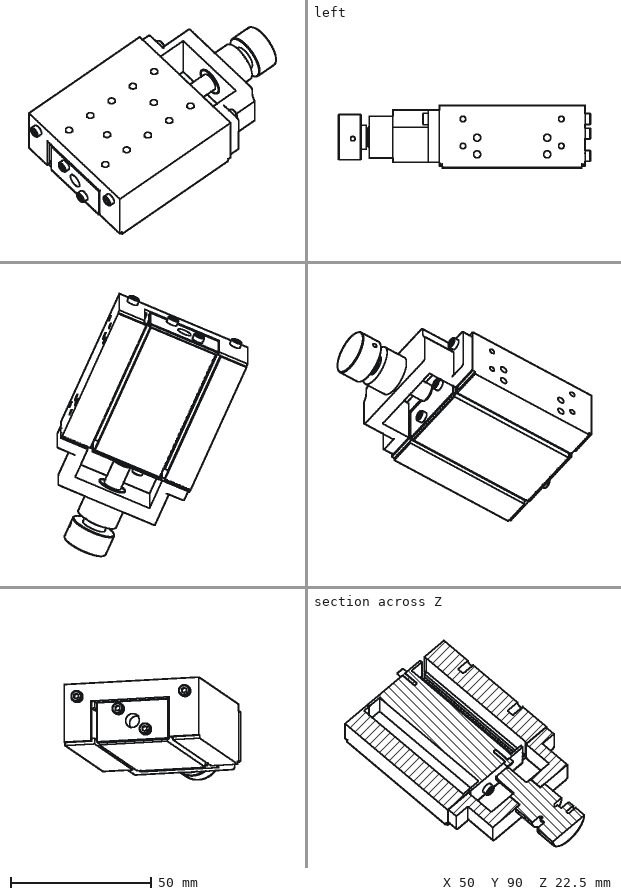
import cadquery as cq
import math


TOTAL_HEIGHT = 22.5
TABLE_BOTTOM = 0.45
TABLE_END_BOTTOM = 1.5
TABLE_OPENING_TOP = TOTAL_HEIGHT - 6.6
BASE_TOP = TOTAL_HEIGHT - 7.1
BASE_PLATE_BOTTOM = 0.7
BASE_AXIS_Z = TOTAL_HEIGHT - 14.5
DRIVE_AXIS_Z = TOTAL_HEIGHT - 11.3
BOLT_Z = TOTAL_HEIGHT - 4.9
RACE_HEIGHT = 11.1
RACE_BOTTOM = BASE_AXIS_Z - RACE_HEIGHT / 2
RACE_TOP = BASE_AXIS_Z + RACE_HEIGHT / 2

TABLE_WIDTH = 50.0
TABLE_LENGTH = 52.0
TABLE_MIDDLE_Y = TABLE_LENGTH / 2
END_THICKNESS = 1.1
OPENING_WIDTH = 29.0
OPENING_CENTRE_X = 0.5
END_OPENING_CENTRE_X = -OPENING_CENTRE_X
TABLE_RACE_DEPTH = 1.2
GRID_PITCH = 10.0
GRID_ROWS = 5
ACCESS_SPACING = 22.0
TAP_DIAMETER = 2.5
BOLT_SPACING = 40.0
BOLT_BORE_DEPTH = 10.0

SIDE_HOLE_DEPTH = (TABLE_WIDTH - BOLT_SPACING) / 2
SIDE_TAP_SPACING_Y = 25.0
SIDE_TAP_SPACING_Z = 5.9
LOCK_HOLE_DIAMETER = 2.0
LOCK_HOLE_SPACING_Y = 35.1

BASE_CENTRE_X = 0.4
BASE_WIDTH = 25.2
BASE_RACE_DEPTH = 4.4
BASE_PLATE_WIDTH = 26.7
BASE_PLATE_CORNER = 0.4
BASE_PLATE_CHAMFER = 0.3
STOP_HOLE_DIAMETER = 5.0
STOP_HOLE_DEPTH = 5.0
BASE_SCREW_SPACING_X = 10.1
BASE_SCREW_SPACING_Z = 7.9
BASE_SCREW_RISE = 0.45

BASE_SCREW_Z = BASE_AXIS_Z + BASE_SCREW_RISE
BASE_SCREW_POINTS = [
    (BASE_CENTRE_X + side * BASE_SCREW_SPACING_X / 2, BASE_SCREW_Z - side * BASE_SCREW_SPACING_Z / 2)
    for side in (-1, 1)
]

HEAD_DIAMETER = 4.0
HEAD_HEIGHT = 2.0
HEAD_CHAMFER = 0.3
SHANK_DIAMETER = TAP_DIAMETER
SHANK_LENGTH = 6.0
SOCKET_SIDES = 6
SOCKET_CORNERS = 2.0
SOCKET_DEPTH = 1.0

BRACKET_BOTTOM = 2.2
BRACKET_TOP = TOTAL_HEIGHT - 1.6
BRACKET_LENGTH = 16.6
BRACKET_WALL = 5.1
FOOT_WIDTH = 49.5
FOOT_THICKNESS = 4.0
ARM_WIDTH = 37.8
BRACKET_OPENING = 29.0
BRACKET_FILLET = 1.1
RELIEF_WALL_X = 17.55
RELIEF_RADIUS = 4.05

SPINDLE_RADIUS = 3.2
TIP_RADIUS = 2.7
TIP_START = 2.0
TIP_LENGTH = 0.45
BARREL_RADIUS = 5.0
BARREL_CHAMFER = 0.3
SLEEVE_RADIUS = 7.5
SLEEVE_END = 25.0
CONE_RADIUS = 3.8
CONE_END = 25.5
NECK_START = 26.0
NECK_RADIUS = 4.3
KNOB_START = 27.9
KNOB_END = 36.0
KNOB_RADIUS = 8.1
KNOB_CHAMFER = 0.3
GRUB_HOLE_DIAMETER = 1.6
GRUB_HOLE_DEPTH = 3.6
GRUB_HOLE_Y = 30.9
GRUB_HOLE_DROP = 0.5


def block(x_centre, width, y_start, y_end, z_bottom, z_top):
    size = (width, y_end - y_start, z_top - z_bottom)
    corner = (x_centre - width / 2, y_start, z_bottom)
    return cq.Workplane("XY").box(*size, centered=False).translate(corner)


def rod(x, y, z, direction, diameter, length):
    start = cq.Vector(x, y, z)
    return cq.Workplane(cq.Solid.makeCylinder(diameter / 2, length, start, cq.Vector(*direction)))


def make_table():
    table = block(0, TABLE_WIDTH, 0, TABLE_LENGTH, TABLE_BOTTOM, TOTAL_HEIGHT)

    ends = [(0, END_THICKNESS), (TABLE_LENGTH - END_THICKNESS, TABLE_LENGTH)]
    for start, end in ends:
        table = table.cut(block(0, TABLE_WIDTH, start, end, TABLE_BOTTOM, TABLE_END_BOTTOM))
        table = table.cut(block(END_OPENING_CENTRE_X, OPENING_WIDTH, start, end, 0, TABLE_OPENING_TOP))

    inner_start = END_THICKNESS
    inner_end = TABLE_LENGTH - END_THICKNESS
    table = table.cut(block(OPENING_CENTRE_X, OPENING_WIDTH, inner_start, inner_end, 0, TABLE_OPENING_TOP))
    race_width = OPENING_WIDTH + 2 * TABLE_RACE_DEPTH
    table = table.cut(block(OPENING_CENTRE_X, race_width, inner_start, inner_end, RACE_BOTTOM, RACE_TOP))

    top_depth = TOTAL_HEIGHT - TABLE_OPENING_TOP
    down = (0, 0, -1)
    points = [(BASE_CENTRE_X, TABLE_MIDDLE_Y + side * ACCESS_SPACING / 2) for side in (-1, 1)]
    for row in range(GRID_ROWS):
        y = TABLE_MIDDLE_Y + (row - (GRID_ROWS - 1) / 2) * GRID_PITCH
        points += [(-GRID_PITCH, y), (GRID_PITCH, y)]
    for x, y in points:
        table = table.cut(rod(x, y, TOTAL_HEIGHT, down, TAP_DIAMETER, top_depth))

    for x in (-BOLT_SPACING / 2, BOLT_SPACING / 2):
        table = table.cut(rod(x, 0, BOLT_Z, (0, 1, 0), SHANK_DIAMETER, BOLT_BORE_DEPTH))
        table = table.cut(rod(x, TABLE_LENGTH, BOLT_Z, (0, -1, 0), SHANK_DIAMETER, BOLT_BORE_DEPTH))

    left = -TABLE_WIDTH / 2
    inward = (1, 0, 0)
    for side in (-1, 1):
        tap_y = TABLE_MIDDLE_Y + side * SIDE_TAP_SPACING_Y / 2
        for level in (-1, 1):
            tap_z = BASE_AXIS_Z + level * SIDE_TAP_SPACING_Z / 2
            table = table.cut(rod(left, tap_y, tap_z, inward, TAP_DIAMETER, SIDE_HOLE_DEPTH))
        lock_y = TABLE_MIDDLE_Y + side * LOCK_HOLE_SPACING_Y / 2
        for lock_z in (BASE_AXIS_Z, BOLT_Z):
            table = table.cut(rod(left, lock_y, lock_z, inward, LOCK_HOLE_DIAMETER, SIDE_HOLE_DEPTH))
    return table


def make_base():
    inner_end = TABLE_LENGTH - END_THICKNESS
    base = block(BASE_CENTRE_X, BASE_WIDTH, END_THICKNESS, inner_end, 0, BASE_TOP)

    for side in (-1, 1):
        race_x = BASE_CENTRE_X + side * (BASE_WIDTH - BASE_RACE_DEPTH) / 2
        base = base.cut(block(race_x, BASE_RACE_DEPTH, END_THICKNESS, inner_end, RACE_BOTTOM, RACE_TOP))

    for start, end, face in ((0, END_THICKNESS, "<Y"), (inner_end, TABLE_LENGTH, ">Y")):
        plate = block(BASE_CENTRE_X, BASE_PLATE_WIDTH, start, end, BASE_PLATE_BOTTOM, BASE_TOP)
        plate = plate.edges("|Y").chamfer(BASE_PLATE_CORNER)
        base = base.union(plate.faces(face).chamfer(BASE_PLATE_CHAMFER))

    base = base.cut(rod(BASE_CENTRE_X, 0, BASE_AXIS_Z, (0, 1, 0), STOP_HOLE_DIAMETER, STOP_HOLE_DEPTH))
    for x, z in BASE_SCREW_POINTS:
        base = base.cut(rod(x, 0, z, (0, 1, 0), SHANK_DIAMETER, SHANK_LENGTH))
        base = base.cut(rod(x, TABLE_LENGTH, z, (0, -1, 0), SHANK_DIAMETER, SHANK_LENGTH))
    return base


def make_screw(x, seat_y, z, facing):
    """Socket head screw seated at seat_y; facing is -1 for a head toward -Y and 1 toward +Y."""
    head = cq.Workplane("XY").circle(HEAD_DIAMETER / 2).extrude(HEAD_HEIGHT)
    head = head.faces(">Z").chamfer(HEAD_CHAMFER)
    socket = cq.Workplane("XY").polygon(SOCKET_SIDES, SOCKET_CORNERS).extrude(-SOCKET_DEPTH)
    socket = socket.rotate((0, 0, 0), (0, 0, 1), 180 / SOCKET_SIDES)
    head = head.cut(socket.translate((0, 0, HEAD_HEIGHT)))
    shank = cq.Workplane("XY").circle(SHANK_DIAMETER / 2).extrude(-SHANK_LENGTH)
    screw = head.union(shank).rotate((0, 0, 0), (1, 0, 0), -90 * facing)
    return screw.translate((x, seat_y, z))


def make_bracket():
    rear = TABLE_LENGTH + BRACKET_LENGTH
    foot_rear = TABLE_LENGTH + FOOT_THICKNESS
    foot = block(0, FOOT_WIDTH, TABLE_LENGTH, foot_rear, BRACKET_BOTTOM, BRACKET_TOP)
    foot = foot.edges("|Y").fillet(BRACKET_FILLET)

    arm_side = ARM_WIDTH / 2
    arc_centre_x = RELIEF_WALL_X + RELIEF_RADIUS
    arc_drop = math.sqrt(RELIEF_RADIUS**2 - (arc_centre_x - arm_side) ** 2)
    outline = (
        cq.Workplane("XZ", origin=(0, rear, 0))
        .moveTo(0, BRACKET_TOP)
        .lineTo(RELIEF_WALL_X, BRACKET_TOP)
        .lineTo(RELIEF_WALL_X, BOLT_Z)
        .radiusArc((arm_side, BOLT_Z - arc_drop), -RELIEF_RADIUS)
        .lineTo(arm_side, BRACKET_BOTTOM)
        .lineTo(0, BRACKET_BOTTOM)
        .mirrorY()
    )
    arms = outline.extrude(BRACKET_LENGTH)
    arms = arms.edges("|Y and (>Z or <Z)").fillet(BRACKET_FILLET)
    bracket = arms.union(foot)

    inner_wall = rear - BRACKET_WALL
    bracket = bracket.cut(block(0, BRACKET_OPENING, TABLE_LENGTH, inner_wall, BRACKET_BOTTOM, BRACKET_TOP))
    bracket = bracket.cut(rod(0, inner_wall, DRIVE_AXIS_Z, (0, 1, 0), 2 * BARREL_RADIUS, BRACKET_WALL))

    for x in (-BOLT_SPACING / 2, BOLT_SPACING / 2):
        bracket = bracket.union(make_screw(x, foot_rear, BOLT_Z, 1))
    return bracket


def make_micrometer():
    inner_wall = BRACKET_LENGTH - BRACKET_WALL
    profile = [
        (0, TIP_START),
        (TIP_RADIUS, TIP_START),
        (TIP_RADIUS, TIP_START + TIP_LENGTH),
        (SPINDLE_RADIUS, TIP_START + TIP_LENGTH),
        (SPINDLE_RADIUS, inner_wall),
        (BARREL_RADIUS - BARREL_CHAMFER, inner_wall),
        (BARREL_RADIUS, inner_wall + BARREL_CHAMFER),
        (BARREL_RADIUS, BRACKET_LENGTH),
        (SLEEVE_RADIUS, BRACKET_LENGTH),
        (SLEEVE_RADIUS, SLEEVE_END),
        (CONE_RADIUS, SLEEVE_END),
        (SPINDLE_RADIUS, CONE_END),
        (SPINDLE_RADIUS, NECK_START),
        (NECK_RADIUS, NECK_START),
        (NECK_RADIUS, KNOB_START),
        (KNOB_RADIUS - KNOB_CHAMFER, KNOB_START),
        (KNOB_RADIUS, KNOB_START + KNOB_CHAMFER),
        (KNOB_RADIUS, KNOB_END - KNOB_CHAMFER),
        (KNOB_RADIUS - KNOB_CHAMFER, KNOB_END),
        (0, KNOB_END),
    ]
    turned = cq.Workplane("XY").polyline(profile).close().revolve(360, (0, 0, 0), (0, 1, 0))
    grub_hole = rod(-KNOB_RADIUS, GRUB_HOLE_Y, -GRUB_HOLE_DROP, (1, 0, 0), GRUB_HOLE_DIAMETER, GRUB_HOLE_DEPTH)
    return turned.cut(grub_hole).translate((0, TABLE_LENGTH, DRIVE_AXIS_Z))


table = make_table()
base = make_base()
bracket = make_bracket()
micrometer = make_micrometer()

screws = [make_screw(side * BOLT_SPACING / 2, 0, BOLT_Z, -1) for side in (-1, 1)]
for x, z in BASE_SCREW_POINTS:
    screws.append(make_screw(x, 0, z, -1))
    screws.append(make_screw(x, TABLE_LENGTH, z, 1))

result = cq.Compound.makeCompound(
    [table.val(), base.val(), bracket.val(), micrometer.val()] + [screw.val() for screw in screws]
)